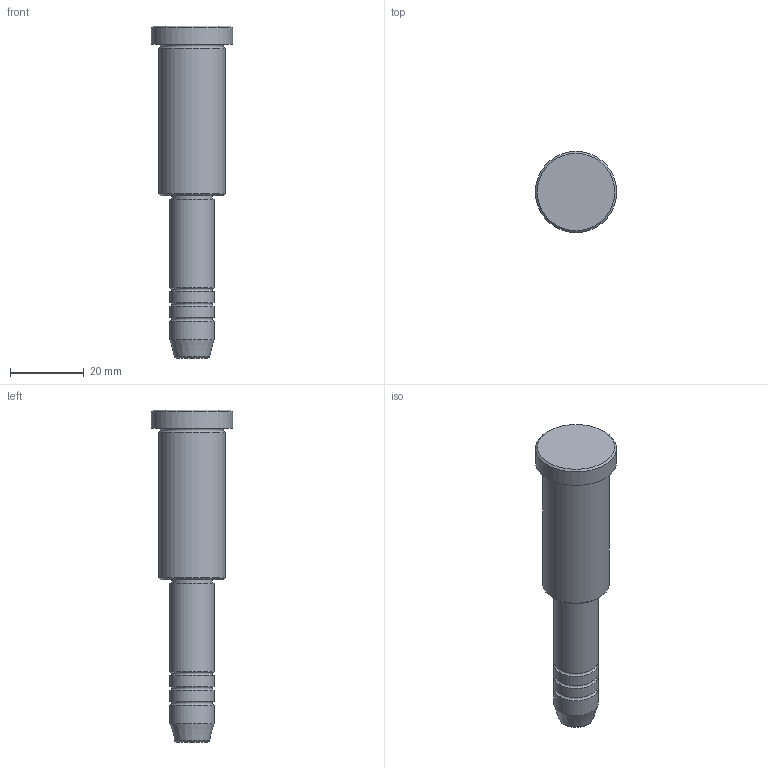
import cadquery as cq
import math

total_length = 90.0
head_radius = 11.0
head_height = 5.0
head_bottom_z = total_length - head_height

body_radius = 9.0
body_bottom_z = 44.0
pin_radius = 6.0

edge_break = 0.5

relief_depth = 0.5
relief_length = 1.0
relief_radius = pin_radius - relief_depth
relief_bottom_z = body_bottom_z - relief_length

groove_radius = 0.5
body_groove_z = head_bottom_z - groove_radius
pin_groove_count = 3
pin_groove_pitch = 4.0
lowest_pin_groove_z = 10.5

tip_height = 5.0
tip_angle = math.radians(15.0)
tip_end_radius = pin_radius - tip_height * math.tan(tip_angle)


def revolve_about_z(section):
    """Turn a closed XZ section a full circle about the Z axis."""
    return section.revolve(360, (0, 0, 0), (0, 1, 0))


def make_blank():
    """Stepped pin without grooves, outlined from the tip up to the head."""
    outline = [
        (0, 0),
        (tip_end_radius, 0),
        (pin_radius, tip_height),
        (pin_radius, relief_bottom_z),
        (relief_radius, relief_bottom_z),
        (relief_radius, body_bottom_z),
        (body_radius - edge_break, body_bottom_z),
        (body_radius, body_bottom_z + edge_break),
        (body_radius, head_bottom_z),
        (head_radius, head_bottom_z),
        (head_radius, total_length - edge_break),
        (head_radius - edge_break, total_length),
        (0, total_length),
    ]
    return revolve_about_z(cq.Workplane("XZ").polyline(outline).close())


def round_tip_end(blank):
    """Round the rim of the flat tip end."""
    return blank.faces("<Z").edges().fillet(edge_break)


def make_groove_cutter(surface_radius, center_z):
    """Half-round ring whose flat side lies on a cylinder's surface."""
    section = (
        cq.Workplane("XZ")
        .moveTo(surface_radius, center_z - groove_radius)
        .threePointArc(
            (surface_radius - groove_radius, center_z),
            (surface_radius, center_z + groove_radius),
        )
        .close()
    )
    return revolve_about_z(section)


result = round_tip_end(make_blank())
result = result.cut(make_groove_cutter(body_radius, body_groove_z))
for index in range(pin_groove_count):
    groove_z = lowest_pin_groove_z + index * pin_groove_pitch
    result = result.cut(make_groove_cutter(pin_radius, groove_z))